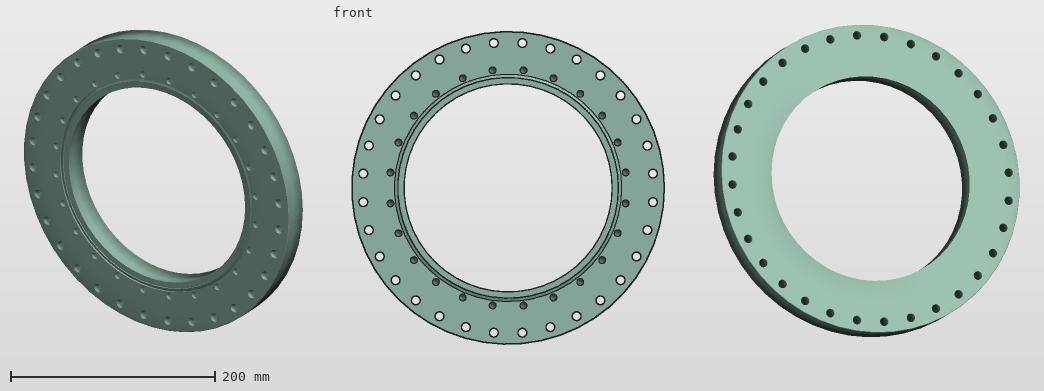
import cadquery as cq
import math

outer_radius = 153.0
bore_radius = 101.5
thickness = 26.0
rim_chamfer = 0.5

recess_radius = 111.0
knife_radius = 108.0
knife_depth = 0.75
knife_slope_angle = 20.0
land_radius = 107.7
land_depth = 1.2

bolt_count = 32
bolt_circle_radius = 142.3
bolt_hole_diameter = 8.3
bolt_hole_chamfer = 0.3

blind_count = 24
blind_circle_radius = 116.0
blind_hole_diameter = 6.7
blind_depth = 15.3
drill_point_angle = 118.0


def ring_of_holes(tool, count, circle_radius):
    """Copies of a hole tool standing on the Y axis, with the X axis midway between two copies."""
    pitch = 360.0 / count
    first = tool.translate((circle_radius, 0, 0))
    holes = cq.Workplane("XY")
    for index in range(count):
        holes = holes.add(first.rotate((0, 0, 0), (0, 1, 0), (index + 0.5) * pitch))
    return holes.combine()


def ring():
    blank = cq.Workplane("XZ").circle(outer_radius).extrude(-thickness)
    blank = blank.edges().chamfer(rim_chamfer)
    bore = cq.Workplane("XZ").circle(bore_radius).extrude(-thickness)
    return blank.cut(bore)


def sealing_recess():
    knife_drop = (recess_radius - knife_radius) * math.tan(math.radians(knife_slope_angle))
    return (
        cq.Workplane("XY")
        .moveTo(0, 0)
        .lineTo(recess_radius, 0)
        .lineTo(recess_radius, knife_depth + knife_drop)
        .lineTo(knife_radius, knife_depth)
        .lineTo(land_radius, land_depth)
        .lineTo(0, land_depth)
        .close()
        .revolve(360, (0, 0), (0, 1))
    )


def bolt_holes():
    radius = bolt_hole_diameter / 2
    mouth_radius = radius + bolt_hole_chamfer
    tool = (
        cq.Workplane("XY")
        .lineTo(mouth_radius, 0)
        .lineTo(radius, bolt_hole_chamfer)
        .lineTo(radius, thickness - bolt_hole_chamfer)
        .lineTo(mouth_radius, thickness)
        .lineTo(0, thickness)
        .close()
        .revolve(360, (0, 0), (0, 1))
    )
    return ring_of_holes(tool, bolt_count, bolt_circle_radius)


def blind_holes():
    radius = blind_hole_diameter / 2
    point_length = radius / math.tan(math.radians(drill_point_angle / 2))
    tool = (
        cq.Workplane("XY")
        .lineTo(radius, 0)
        .lineTo(radius, blind_depth)
        .lineTo(0, blind_depth + point_length)
        .close()
        .revolve(360, (0, 0), (0, 1))
    )
    return ring_of_holes(tool, blind_count, blind_circle_radius)


result = ring().cut(sealing_recess()).cut(bolt_holes()).cut(blind_holes())